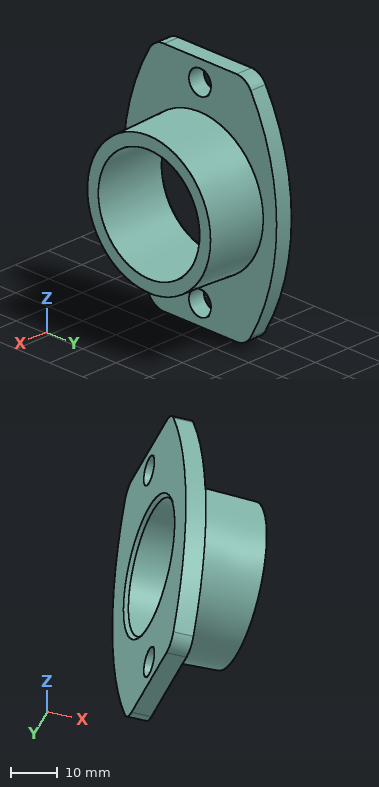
import cadquery as cq

flange_height = 63.0
flange_width = 46.0
flange_thickness = 4.55
side_radius = 57.95
corner_radius = 5.0

overall_depth = 20.0
spigot_root_diameter = 38.0
spigot_tip_diameter = 37.0

bore_diameter = 30.35
bore_chamfer = 0.8
bolt_hole_diameter = 6.6
bolt_hole_spacing = 51.9


def make_flange():
    """Plate with flat ends, bowed sides and rounded corners."""
    side_center = side_radius - flange_width / 2
    discs = [
        cq.Workplane("YZ").center(y, 0).circle(side_radius).extrude(flange_thickness)
        for y in (-side_center, side_center)
    ]
    band = cq.Workplane("YZ").rect(flange_width, flange_height).extrude(flange_thickness)
    plate = band.intersect(discs[0]).intersect(discs[1])
    ends = plate.faces("<Z or >Z")
    return ends.edges("|X").fillet(corner_radius)


def make_spigot():
    """Cone frustum narrowing away from the flange."""
    root_radius = spigot_root_diameter / 2
    tip_radius = spigot_tip_diameter / 2
    profile = [
        (flange_thickness, 0),
        (flange_thickness, root_radius),
        (overall_depth, tip_radius),
        (overall_depth, 0),
    ]
    return cq.Workplane("XY").polyline(profile).close().revolve(360, (0, 0, 0), (1, 0, 0))


def make_bore():
    """Through bore with a chamfered mouth in the flange's back face."""
    bore_radius = bore_diameter / 2
    profile = [
        (0, 0),
        (0, bore_radius + bore_chamfer),
        (bore_chamfer, bore_radius),
        (overall_depth, bore_radius),
        (overall_depth, 0),
    ]
    return cq.Workplane("XY").polyline(profile).close().revolve(360, (0, 0, 0), (1, 0, 0))


def make_bolt_holes():
    """Two through holes, above and below the bore."""
    centers = [(0, -bolt_hole_spacing / 2), (0, bolt_hole_spacing / 2)]
    return (
        cq.Workplane("YZ")
        .pushPoints(centers)
        .circle(bolt_hole_diameter / 2)
        .extrude(flange_thickness)
    )


result = make_flange().union(make_spigot()).cut(make_bore()).cut(make_bolt_holes())